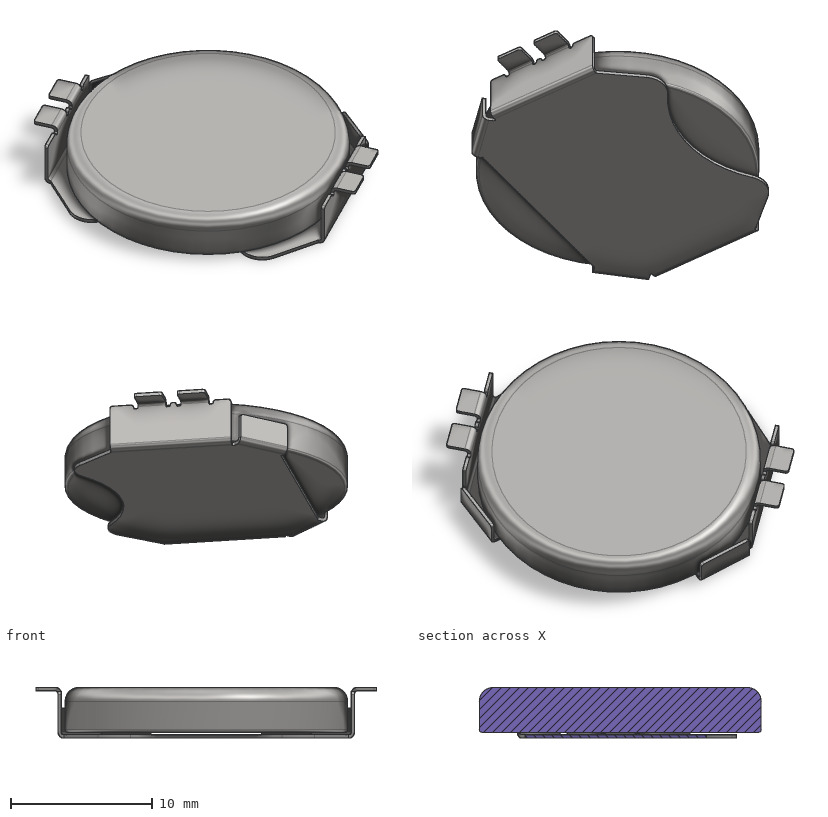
import cadquery as cq
import math

cos_45 = math.cos(math.radians(45))

cell_radius = 10.0
cell_height = 3.2
cell_bottom = 0.4
cell_top = cell_bottom + cell_height
cell_top_round = 1.0
cell_bottom_round = 0.2

sheet = 0.25
bend_inner = 0.2
bend_outer = bend_inner + sheet

wall_face = 10.5
wall_back = 3.75
wall_front = -4.95
wall_top = 3.3
wall_length = wall_back - wall_front
wall_fold = wall_face - bend_outer
wall_corner_round = 0.2

tab_tip = 12.05
tab_width = 2.0
tab_centers = (1.16, -1.93)
tab_tip_round = 0.2
tab_bend_bottom = cell_top - bend_outer
tab_bend_end = wall_face + bend_inner

slot_width = 0.32
slot_bottom = 3.0
slot_floor_round = 0.12
cutter_depth = 4 * sheet

stop_face = 10.55
stop_fold = stop_face - bend_outer
stop_start = 0.24
stop_length = 4.0
stop_end = stop_start + stop_length
stop_top = 2.13
stop_corner_round = 0.2

relief_depth = 0.35
relief_x = 9.87
relief_round = 0.28
foot_start = (7.67, -7.66)
foot_front = -8.24
foot_slope = math.atan2(wall_front - foot_start[1], wall_fold - foot_start[0])
foot_round = (foot_start[1] - foot_front) / (1 - math.cos(foot_slope))
foot_center = (foot_start[0] - foot_round * math.sin(foot_slope), foot_front + foot_round)
front_arc_end = 5.36
foot_sweep = math.asin((foot_center[0] - front_arc_end) / foot_round)
front_arc_radius = front_arc_end / math.sin(foot_sweep)

ridge_inner = 3.9
ridge_outer = 7.4
ridge_half_length = 2.0
ridge_rise = cell_bottom - sheet


def make_cell():
    """Round cell with a large round on its top rim and a small one below."""
    body = cq.Workplane("XY").workplane(offset=cell_bottom).circle(cell_radius).extrude(cell_height)
    body = body.faces(">Z").edges().fillet(cell_top_round)
    return body.faces("<Z").edges().fillet(cell_bottom_round)


def diagonal_point(out, along):
    """Point at a distance out along the back right diagonal, then sideways toward the wall."""
    return ((out + along) * cos_45, (out - along) * cos_45)


def make_half_plate():
    """Right half of the flat base, up to the fold lines of the wall and the stop."""
    back_inner = diagonal_point(stop_fold - relief_depth, stop_start)
    stop_outer = diagonal_point(stop_fold, stop_end)
    relief_corner = (relief_x, stop_outer[1] - (stop_outer[0] - relief_x))
    foot_bottom = (foot_center[0], foot_front)
    foot_end_y = foot_center[1] - foot_round * math.cos(foot_sweep)
    arc_top = foot_end_y + front_arc_radius * (1 - math.cos(foot_sweep))
    half_sweep = foot_sweep / 2
    arc_middle = (
        front_arc_radius * math.sin(half_sweep),
        arc_top - front_arc_radius * (1 - math.cos(half_sweep)),
    )
    plate = (
        cq.Workplane("XY")
        .moveTo(0, back_inner[1])
        .lineTo(*back_inner)
        .lineTo(*diagonal_point(stop_fold, stop_start))
        .lineTo(*stop_outer)
        .lineTo(*relief_corner)
        .lineTo(relief_x, wall_back)
        .lineTo(wall_fold, wall_back)
        .lineTo(wall_fold, wall_front)
        .lineTo(*foot_start)
        .threePointArc(foot_bottom, (front_arc_end, foot_end_y))
        .threePointArc(arc_middle, (0, arc_top))
        .close()
        .extrude(sheet)
    )
    relief_edge = cq.selectors.NearestToPointSelector((*relief_corner, sheet / 2))
    return plate.edges("|Z").edges(relief_edge).fillet(relief_round)


def bent_flange(start, outward, length, height):
    """Flange that bends up from a fold line. It runs from start, clockwise about the part."""
    plane = cq.Plane(origin=(*start, 0), xDir=(*outward, 0), normal=(outward[1], -outward[0], 0))
    return (
        cq.Workplane(plane)
        .lineTo(0, sheet)
        .threePointArc((bend_inner * cos_45, bend_outer - bend_inner * cos_45), (bend_inner, bend_outer))
        .lineTo(bend_inner, height)
        .lineTo(bend_outer, height)
        .lineTo(bend_outer, bend_outer)
        .threePointArc((bend_outer * cos_45, bend_outer - bend_outer * cos_45), (0, 0))
        .close()
        .extrude(length)
    )


def make_stop():
    """Back corner flange with rounded upper corners."""
    stop = bent_flange(diagonal_point(stop_fold, stop_start), (cos_45, cos_45), stop_length, stop_top)
    across = cq.selectors.ParallelDirSelector(cq.Vector(1, 1, 0))
    return stop.faces(">Z").edges(across).fillet(stop_corner_round)


def wall_cutter(center_y, width, bottom):
    """Block through the upper part of a wall."""
    height = cell_top - bottom
    block = cq.Workplane("XY").box(cutter_depth, width, height, centered=(True, True, False))
    return block.translate((wall_face, center_y, bottom))


def make_tab(center_y):
    """Solder tab that curves from the wall to a flat tip level with the top of the cell."""
    bend_z = tab_bend_bottom
    tab = (
        cq.Workplane("XZ", origin=(0, center_y + tab_width / 2, 0))
        .moveTo(wall_face, bend_z)
        .threePointArc(
            (tab_bend_end - bend_inner * cos_45, bend_z + bend_inner * cos_45),
            (tab_bend_end, cell_top - sheet),
        )
        .lineTo(tab_tip, cell_top - sheet)
        .lineTo(tab_tip, cell_top)
        .lineTo(tab_bend_end, cell_top)
        .threePointArc(
            (tab_bend_end - bend_outer * cos_45, bend_z + bend_outer * cos_45),
            (wall_face - sheet, bend_z),
        )
        .close()
        .extrude(tab_width)
    )
    return tab.faces(">X").edges("|Z").fillet(tab_tip_round)


def make_wall():
    """Side wall with relief slots cut beside its two solder tabs."""
    wall = bent_flange((wall_fold, wall_back), (1, 0), wall_length, wall_top)
    slot_offset = (tab_width + slot_width) / 2
    for center_y in tab_centers:
        for side in (-1, 1):
            slot = wall_cutter(center_y + side * slot_offset, slot_width, slot_bottom)
            wall = wall.cut(slot.faces("<Z").edges("|X").fillet(slot_floor_round))
    wall = wall.faces(">Z").edges("|X").fillet(wall_corner_round)
    for center_y in tab_centers:
        wall = wall.cut(wall_cutter(center_y, tab_width, tab_bend_bottom))
        wall = wall.union(make_tab(center_y))
    return wall


def make_ridge():
    """Low arched ridge on the base whose crest touches the underside of the cell."""
    return (
        cq.Workplane("YZ", origin=(ridge_inner, 0, 0))
        .moveTo(-ridge_half_length, sheet)
        .threePointArc((0, sheet + ridge_rise), (ridge_half_length, sheet))
        .close()
        .extrude(ridge_outer - ridge_inner)
    )


def make_clip():
    """Right half of the clip joined with its mirror image."""
    half = make_half_plate().union(make_wall()).union(make_stop()).union(make_ridge())
    return half.union(half.mirror("YZ")).clean()


cell = make_cell()
clip = make_clip()
result = cq.Compound.makeCompound([cell.solids().val(), clip.solids().val()])